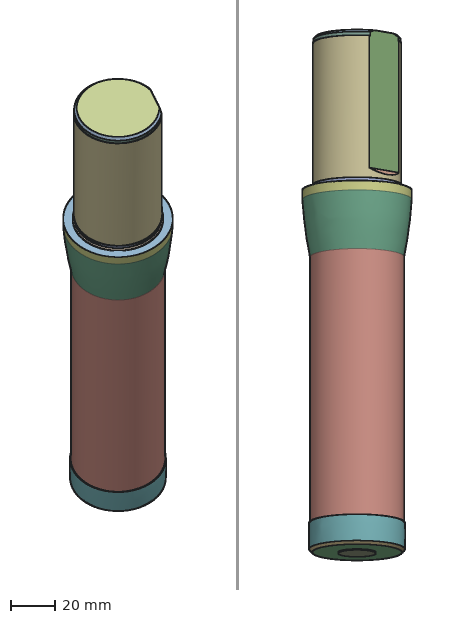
import cadquery as cq

total_height = 237.0
foot_height = 0.5
cap_top_z = 14.0
taper_bottom_z = 136.0
collar_bottom_z = 162.3
collar_top_z = 166.5

barrel_diameter = 42.7
cap_diameter = 43.4
cap_bulge = 0.2
cap_chamfer = 1.5
collar_diameter = 49.5
seat_diameter = 41.0
seat_depth = 0.5
seat_z = collar_top_z - seat_depth
taper_bulge = 0.5
foot_diameter = 17.0

insert_diameter = 40.0
neck_diameter = 39.5
neck_height = 2.8
end_chamfer = 1.2
flat_distance = 17.8
ramp_bottom_z = 171.0
ramp_top_z = 173.5


def make_handle():
    """Revolved grip with a barrel-shaped end cap, a flared collar, a shallow seat and a foot."""
    barrel_radius = barrel_diameter / 2
    cap_radius = cap_diameter / 2
    collar_radius = collar_diameter / 2
    seat_radius = seat_diameter / 2
    foot_radius = foot_diameter / 2
    cap_wall_z = foot_height + cap_chamfer
    cap_middle = (cap_radius + cap_bulge, (cap_wall_z + cap_top_z) / 2)
    taper_middle = (
        (barrel_radius + collar_radius) / 2 + taper_bulge,
        (taper_bottom_z + collar_bottom_z) / 2,
    )
    return (
        cq.Workplane("XZ")
        .lineTo(foot_radius, 0)
        .lineTo(foot_radius, foot_height)
        .lineTo(cap_radius - cap_chamfer, foot_height)
        .lineTo(cap_radius, cap_wall_z)
        .threePointArc(cap_middle, (cap_radius, cap_top_z))
        .lineTo(barrel_radius, cap_top_z)
        .lineTo(barrel_radius, taper_bottom_z)
        .threePointArc(taper_middle, (collar_radius, collar_bottom_z))
        .lineTo(collar_radius, collar_top_z)
        .lineTo(seat_radius, collar_top_z)
        .lineTo(seat_radius, seat_z)
        .lineTo(0, seat_z)
        .close()
        .revolve(360, (0, 0), (0, 1))
    )


def make_flat_cutter():
    """Block that removes the +Y side above a ramp, leaving a flat on the insert."""
    outer_y = collar_diameter / 2
    ramp_run = insert_diameter / 2 - flat_distance
    return (
        cq.Workplane("YZ")
        .moveTo(flat_distance, ramp_top_z)
        .lineTo(flat_distance + ramp_run, ramp_bottom_z)
        .lineTo(outer_y, ramp_bottom_z)
        .lineTo(outer_y, total_height)
        .lineTo(flat_distance, total_height)
        .close()
        .extrude(outer_y, both=True)
    )


def make_insert():
    """Round plug with a slightly narrower chamfered neck at each end and one flat."""
    insert_radius = insert_diameter / 2
    neck_radius = neck_diameter / 2
    lower_neck_z = seat_z + neck_height
    upper_neck_z = total_height - neck_height
    plug = (
        cq.Workplane("XZ")
        .moveTo(0, seat_z)
        .lineTo(neck_radius - end_chamfer, seat_z)
        .lineTo(neck_radius, seat_z + end_chamfer)
        .lineTo(neck_radius, lower_neck_z)
        .lineTo(insert_radius, lower_neck_z)
        .lineTo(insert_radius, upper_neck_z)
        .lineTo(neck_radius, upper_neck_z)
        .lineTo(neck_radius, total_height - end_chamfer)
        .lineTo(neck_radius - end_chamfer, total_height)
        .lineTo(0, total_height)
        .close()
        .revolve(360, (0, 0), (0, 1))
    )
    return plug.cut(make_flat_cutter())


handle = make_handle()
insert = make_insert()
result = cq.Compound.makeCompound([handle.val(), insert.val()])